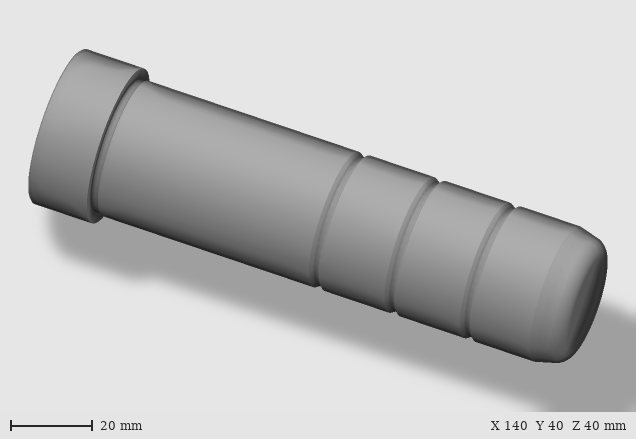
import cadquery as cq
import math

length = 140.0
head_radius = 20.0
body_radius = 17.5
head_length = 15.7
head_chamfer = 0.4

undercut_end = 17.6
undercut_depth = 0.4
undercut_slope = 0.3

first_groove = 74.8
groove_pitch = 20.0
groove_count = 3
groove_flank_run = 1.3
groove_arc_run = 1.7
groove_depth = 0.8

taper_length = 8.0
taper_angle = 15.0
nose_radius = 4.0

centre_mouth_radius = 3.0
centre_pilot_radius = 1.5
countersink_angle = 60.0
pilot_length = 2.8
drill_point_angle = 120.0

x_start = -length / 2
x_end = length / 2


def revolve_about_x(profile):
    return profile.close().revolve(360, (0, 0, 0), (1, 0, 0))


def make_pin():
    taper_drop = taper_length * math.tan(math.radians(taper_angle))
    undercut_radius = body_radius - undercut_depth
    profile = (
        cq.Workplane("XY")
        .moveTo(x_start, 0)
        .lineTo(x_start, head_radius - head_chamfer)
        .lineTo(x_start + head_chamfer, head_radius)
        .lineTo(x_start + head_length, head_radius)
        .lineTo(x_start + head_length, undercut_radius)
        .lineTo(x_start + undercut_end - undercut_slope, undercut_radius)
        .lineTo(x_start + undercut_end, body_radius)
        .lineTo(x_end - taper_length, body_radius)
        .lineTo(x_end, body_radius - taper_drop)
        .lineTo(x_end, 0)
    )
    return revolve_about_x(profile).faces(">X").edges().fillet(nose_radius)


def make_groove(x_root):
    arc_radius = (groove_arc_run**2 + groove_depth**2) / (2 * groove_depth)
    root_radius = body_radius - groove_depth
    half_sweep = math.asin(groove_arc_run / arc_radius) / 2
    arc_middle = (
        x_root + arc_radius * math.sin(half_sweep),
        root_radius + arc_radius * (1 - math.cos(half_sweep)),
    )
    profile = (
        cq.Workplane("XY")
        .moveTo(x_root - groove_flank_run, body_radius)
        .lineTo(x_root, root_radius)
        .threePointArc(arc_middle, (x_root + groove_arc_run, body_radius))
    )
    return revolve_about_x(profile)


def make_centre_hole():
    sink_step = centre_mouth_radius - centre_pilot_radius
    sink_depth = sink_step / math.tan(math.radians(countersink_angle / 2))
    pilot_end = x_start + sink_depth + pilot_length
    point_depth = centre_pilot_radius / math.tan(math.radians(drill_point_angle / 2))
    profile = (
        cq.Workplane("XY")
        .moveTo(x_start, 0)
        .lineTo(x_start, centre_mouth_radius)
        .lineTo(x_start + sink_depth, centre_pilot_radius)
        .lineTo(pilot_end, centre_pilot_radius)
        .lineTo(pilot_end + point_depth, 0)
    )
    return revolve_about_x(profile)


result = make_pin().cut(make_centre_hole())
for index in range(groove_count):
    result = result.cut(make_groove(x_start + first_groove + index * groove_pitch))